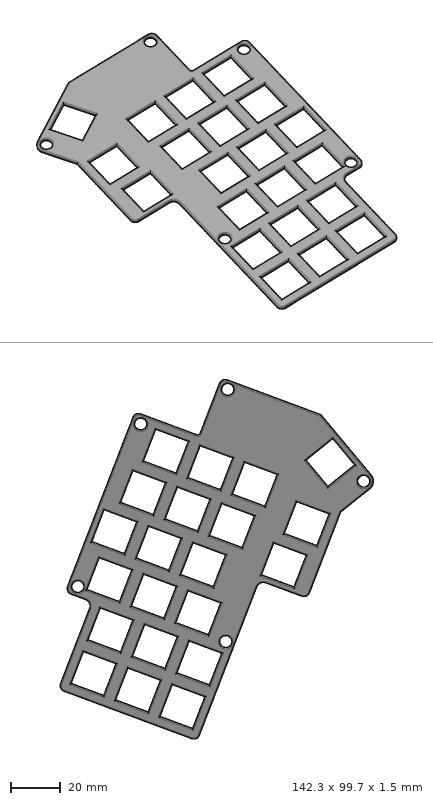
import cadquery as cq
import math

length = 142.3
width = 99.7
thickness = 1.5
edge_radius = 0.5

window_side = 14.0
key_pitch = 19.0
first_column_x = -35.1
middle_row_y = [13.5, 16.1, 21.2, 16.1, 8.4, 8.4]
thumb_keys = [(-27.5, -30.7, 0), (-8.4, -28.2, 0), (-54.2, -30.7, 30)]

hole_diameter = 4.8
tip_hole = (-51.8, -46.0)
screw_holes = [(-42.0, 46.0), (29.2, 46.0), (-67.6, 18.4), (29.2, -17.5), tip_hole]

left = -length / 2
right = length / 2
top = width / 2
left_step_x = -45.8
left_step_y = 22.3
right_step_x = 33.0
right_block_top = 38.4
right_block_bottom = -21.2
thumb_right = 1.0
thumb_bottom = -41.8

tip_angle = math.radians(30)
tip_radius = width / 2 + tip_hole[1]
tip_x = tip_hole[0] + tip_radius * (math.sin(tip_angle) - math.cos(tip_angle))
tip_y = tip_hole[1] - tip_radius * (math.sin(tip_angle) + math.cos(tip_angle))
left_bend_y = tip_y + (tip_x - left) / math.tan(tip_angle)
bottom_bend_x = tip_x + (thumb_bottom - tip_y) / math.tan(tip_angle)

outer_radius = 2.4
inner_radius = 2.8
notch_radius = 1.0

corners = [
    (left, left_step_y, outer_radius),
    (left_step_x, left_step_y, notch_radius),
    (left_step_x, top, outer_radius),
    (right_step_x, top, outer_radius),
    (right_step_x, right_block_top, inner_radius),
    (right, right_block_top, outer_radius),
    (right, right_block_bottom, outer_radius),
    (thumb_right, right_block_bottom, inner_radius),
    (thumb_right, thumb_bottom, outer_radius),
    (bottom_bend_x, thumb_bottom, 0),
    (tip_x, tip_y, tip_radius),
    (left, left_bend_y, 0),
]


def make_plate():
    """Flat plate with its vertical corners rounded."""
    outline = [(x, y) for x, y, _ in corners]
    plate = cq.Workplane("XY", origin=(0, 0, -thickness / 2)).polyline(outline).close().extrude(thickness)
    for x, y, radius in corners:
        if radius > 0:
            corner_edge = cq.selectors.NearestToPointSelector((x, y, 0))
            plate = plate.edges("|Z").edges(corner_edge).fillet(radius)
    return plate


def cut_window(plate, x, y, angle):
    """Cut a square switch window, turned by angle degrees."""
    cutter = cq.Workplane("XY").box(window_side, window_side, 2 * thickness)
    cutter = cutter.rotate((0, 0, 0), (0, 0, 1), angle).translate((x, y, 0))
    return plate.cut(cutter)


def cut_screw_holes(plate):
    """Drill the screw holes through the plate."""
    drills = cq.Workplane("XY", origin=(0, 0, -thickness)).pushPoints(screw_holes)
    return plate.cut(drills.circle(hole_diameter / 2).extrude(2 * thickness))


plate = make_plate()

for column, middle_y in enumerate(middle_row_y):
    for row in (-1, 0, 1):
        plate = cut_window(plate, first_column_x + column * key_pitch, middle_y + row * key_pitch, 0)

for x, y, angle in thumb_keys:
    plate = cut_window(plate, x, y, angle)

plate = cut_screw_holes(plate)

result = plate.faces("<Z or >Z").edges().fillet(edge_radius)